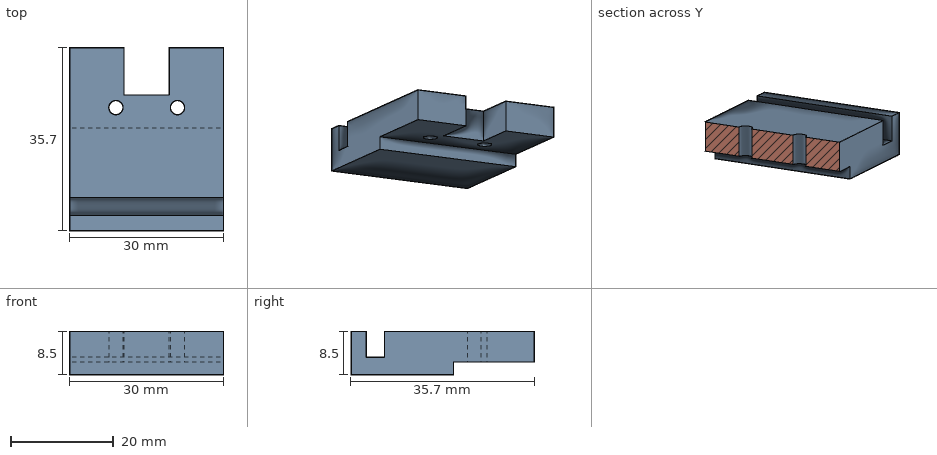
import cadquery as cq

width = 30.0
length = 35.7
height = 8.5

foot_length = 20.0
step_height = 2.5

lip_thickness = 3.0
groove_width = 3.5
groove_depth = 5.0

notch_width = 8.8
notch_depth = 9.2

hole_diameter = 2.7
hole_spacing = 12.0
hole_back_distance = 11.7


def make_body():
    """Side profile in the YZ plane, extruded across the width."""
    groove_back = lip_thickness + groove_width
    groove_floor = height - groove_depth
    profile = [
        (0, 0),
        (foot_length, 0),
        (foot_length, step_height),
        (length, step_height),
        (length, height),
        (groove_back, height),
        (groove_back, groove_floor),
        (lip_thickness, groove_floor),
        (lip_thickness, height),
        (0, height),
    ]
    return cq.Workplane("YZ").polyline(profile).close().extrude(width / 2, both=True)


def make_notch():
    """Full-height cutter for the notch in the back edge."""
    notch = cq.Workplane("XY").box(notch_width, notch_depth, height, centered=(True, False, False))
    return notch.translate((0, length - notch_depth, 0))


def make_holes():
    """Full-height cutters for the two holes."""
    hole_y = length - hole_back_distance
    centres = [(side * hole_spacing / 2, hole_y) for side in (-1, 1)]
    return cq.Workplane("XY").pushPoints(centres).circle(hole_diameter / 2).extrude(height)


result = make_body().cut(make_notch()).cut(make_holes())